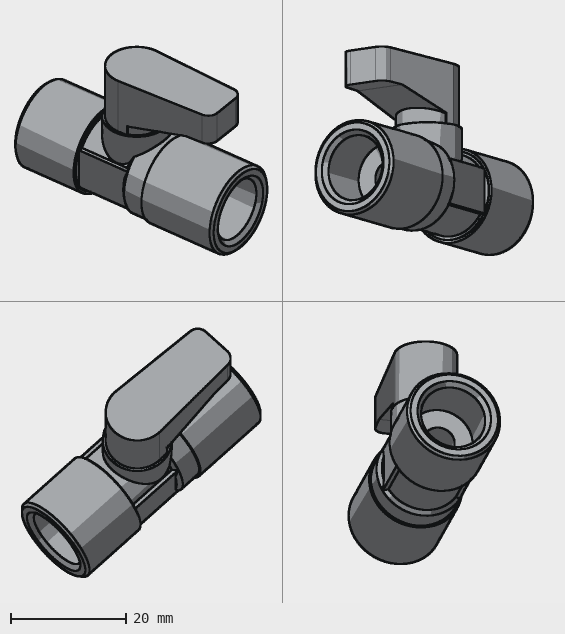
import cadquery as cq
import math


end_diameter = 16.7
end_chamfer = 0.5
left_end_x = -20.5
right_end_x = 22.5
left_sleeve_length = 13.05
rim_diameter = 15.65
rim_length = 0.15

neck_diameter = 14.5
flats_width = 13.75
flats_height = 8.0
shoulder_diameter = 16.0
shoulder_end_x = 3.22
joint_x = 7.22
collar_diameter = 12.0
collar_top_z = 10.55

passage_diameter = 5.5
port_diameter = 11.5
port_mouth_diameter = 13.15
port_depth = 9.9
port_cone_slope = 15.0

handle_top_z = 21.5
hub_diameter = 11.0
skirt_end_x = 1.95
skirt_top_z = 12.43
slope_end_x = 14.3
tip_bottom_z = 15.45
tip_x = 19.45
tip_width = 9.05
tip_corner_radius = 1.95

left_sleeve_end_x = left_end_x + left_sleeve_length
shoulder_start_x = shoulder_end_x - (shoulder_diameter - neck_diameter) / 2
mouth_chamfer = (port_mouth_diameter - port_diameter) / 2
handle_height = handle_top_z - collar_top_z
port_ledge = (port_diameter - passage_diameter) / 2
port_cone_length = port_ledge * math.tan(math.radians(port_cone_slope))


def cylinder_along_x(diameter, start_x, end_x):
    """Solid cylinder about the flow axis."""
    return cq.Workplane("YZ", origin=(start_x, 0, 0)).circle(diameter / 2).extrude(end_x - start_x)


def port_cutter(end_x, inward):
    """Port with a chamfered mouth and a conical bottom; inward is +1 or -1 along X."""
    bottom_x = end_x + inward * port_depth
    profile = [
        (end_x, 0),
        (end_x, port_mouth_diameter / 2),
        (end_x + inward * mouth_chamfer, port_diameter / 2),
        (bottom_x, port_diameter / 2),
        (bottom_x + inward * port_cone_length, passage_diameter / 2),
        (bottom_x + inward * port_cone_length, 0),
    ]
    return cq.Workplane("XY").polyline(profile).close().revolve(360, (0, 0, 0), (1, 0, 0))


def make_passage():
    """Whole hollow of the valve, cut from both the housing and the end fitting."""
    bore = cylinder_along_x(passage_diameter, left_end_x, right_end_x)
    return bore.union(port_cutter(left_end_x, 1)).union(port_cutter(right_end_x, -1))


def make_neck():
    """Round neck trimmed to the width of a flat bar that runs through it and forms the wrench flats."""
    neck = cylinder_along_x(neck_diameter, left_sleeve_end_x, shoulder_end_x)
    length = shoulder_end_x - left_sleeve_end_x
    middle_x = (left_sleeve_end_x + shoulder_end_x) / 2
    bar = cq.Workplane("XY", origin=(middle_x, 0, 0)).box(length, flats_width, flats_height)
    trim = cq.Workplane("XY", origin=(middle_x, 0, 0)).box(length, flats_width, neck_diameter)
    return neck.intersect(trim).union(bar)


def make_housing():
    """Left sleeve, neck with wrench flats, shoulder and the collar that carries the handle."""
    sleeve = cylinder_along_x(end_diameter, left_end_x, left_sleeve_end_x).faces("<X").chamfer(end_chamfer)
    rim = cylinder_along_x(rim_diameter, left_sleeve_end_x, left_sleeve_end_x + rim_length)
    shoulder = (
        cylinder_along_x(shoulder_diameter, shoulder_start_x, joint_x)
        .faces("<X")
        .chamfer(shoulder_end_x - shoulder_start_x)
    )
    collar = cq.Workplane("XY").circle(collar_diameter / 2).extrude(collar_top_z)
    body = sleeve.union(rim).union(make_neck()).union(shoulder).union(collar)
    return body.cut(make_passage())


def make_end_fitting():
    """Right sleeve, butted against the shoulder of the housing."""
    sleeve = cylinder_along_x(end_diameter, joint_x, right_end_x).faces(">X").chamfer(end_chamfer)
    return sleeve.cut(make_passage())


def make_handle():
    """Tapered lever with a round hub, standing on the collar."""
    hub_radius = hub_diameter / 2
    lever = (
        cq.Workplane("XY", origin=(0, 0, collar_top_z))
        .moveTo(0, hub_radius)
        .threePointArc((-hub_radius, 0), (0, -hub_radius))
        .lineTo(tip_x, -tip_width / 2)
        .lineTo(tip_x, tip_width / 2)
        .close()
        .extrude(handle_height)
        .edges("|Z and >X")
        .fillet(tip_corner_radius)
    )
    clearance_profile = [
        (skirt_end_x, collar_top_z),
        (skirt_end_x, skirt_top_z),
        (slope_end_x, tip_bottom_z),
        (tip_x, tip_bottom_z),
        (tip_x, collar_top_z),
    ]
    clearance = cq.Workplane("XZ").polyline(clearance_profile).close().extrude(hub_diameter, both=True)
    hub = cq.Workplane("XY", origin=(0, 0, collar_top_z)).circle(hub_radius).extrude(handle_height)
    return lever.cut(clearance.cut(hub))


housing = make_housing()
end_fitting = make_end_fitting()
handle = make_handle()

result = cq.Compound.makeCompound([housing.val(), end_fitting.val(), handle.val()])